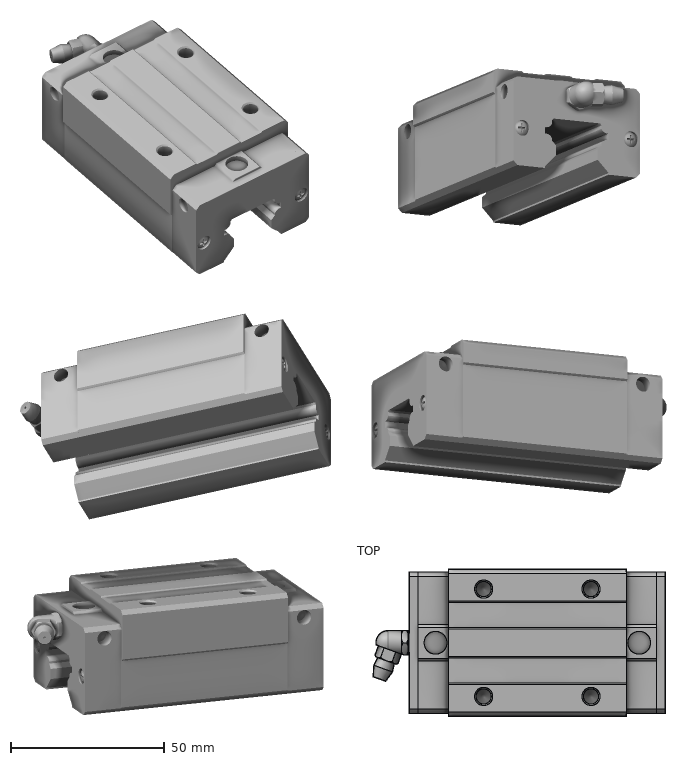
import cadquery as cq
import math


block_length = 58.0
block_width = 48.0
block_skirt_half_width = 23.4
block_height = 34.5
block_top_chamfer = 1.4
block_bottom_chamfer = 1.7
skirt_step_front = 18.1
skirt_step_back = 26.6
top_groove_depth = 0.5
top_groove_inner = 5.0
top_groove_outer = 13.1

bolt_pitch = 35.0
bolt_hole_diameter = 5.0
bolt_hole_chamfer = 0.5
bolt_hole_depth = 11.45
drill_tip_angle = 118.0

cap_length = 9.9
seal_length = 2.9
end_half_width = 23.1
end_height = 29.6
end_chamfer = 1.4

rail_center_height = 12.6
rail_top = 16.8
rail_top_chamfer = 0.6
rail_neck_half_width = 9.1
notch_half_width = 11.6
notch_half_height = 1.1
lip_arc_height = 2.6
lip_arc_bulge = 0.4
tongue_half_width = 7.6
tongue_top = 8.0
tongue_bottom = 4.6
mouth_half_width = 11.6

ridge_half_width = 5.1
ridge_height = 0.9
top_port_diameter = 7.4
top_port_depth = 1.9
top_port_x = 33.2
side_port_diameter = 5.0
side_port_depth = 5.0
side_port_x = 34.9
side_port_height = 25.7

screw_offset = 19.8
screw_head_diameter = 5.2
screw_recess_depth = 2.1
screw_rim_depth = 1.0
cross_length = 2.9
cross_width = 0.7
cross_depth = 1.3

nipple_height = 24.6
stub_diameter = 6.2
stub_length = 0.4
base_hex_flats = 8.0
base_hex_length = 2.1
elbow_length = 4.4
branch_angle = 20.0
branch_origin_x = -47.2
branch_hex_start = 2.5
branch_hex_end = 6.2
branch_hex_flats = 7.0
hex_corner_chamfer = 0.5
nozzle_neck_diameter = 5.8
nozzle_waist_diameter = 6.5
nozzle_tip_diameter = 4.4
nozzle_waist = 9.0
nozzle_tip = 12.6
grease_bore_diameter = 0.9
grease_bore_depth = 1.0

block_half_width = block_width / 2
block_end = block_length / 2
cap_end = block_end + cap_length
carriage_end = cap_end + seal_length


def extrude_along_x(profile, start, length):
    """Extrude a Y-Z profile of points over [start, start + length] in X."""
    return cq.Workplane("YZ").workplane(offset=start).polyline(profile).close().extrude(length)


def rail_opening():
    """Rail-shaped opening through the whole carriage, with rounded lips beside the side notches."""
    notch_top = rail_center_height + notch_half_height
    notch_bottom = rail_center_height - notch_half_height
    lip_top = notch_top + lip_arc_height / 2
    lip_bottom = notch_bottom - lip_arc_height / 2
    lip_mid_y = (rail_neck_half_width + notch_half_width) / 2 - lip_arc_bulge
    upper_mid_z = (notch_top + lip_top) / 2 - lip_arc_bulge
    lower_mid_z = (notch_bottom + lip_bottom) / 2 + lip_arc_bulge
    neck_bottom = tongue_top + rail_neck_half_width - tongue_half_width
    mouth_top = tongue_bottom - (mouth_half_width - tongue_half_width)
    half = (
        cq.Workplane("YZ").workplane(offset=-carriage_end)
        .moveTo(0, rail_top)
        .lineTo(rail_neck_half_width - rail_top_chamfer, rail_top)
        .lineTo(rail_neck_half_width, rail_top - rail_top_chamfer)
        .lineTo(rail_neck_half_width, lip_top)
        .threePointArc((lip_mid_y, upper_mid_z), (notch_half_width, notch_top))
        .lineTo(notch_half_width, notch_bottom)
        .threePointArc((lip_mid_y, lower_mid_z), (rail_neck_half_width, lip_bottom))
        .lineTo(rail_neck_half_width, neck_bottom)
        .lineTo(tongue_half_width, tongue_top)
        .lineTo(tongue_half_width, tongue_bottom)
        .lineTo(mouth_half_width, mouth_top)
        .lineTo(mouth_half_width, 0)
        .lineTo(0, 0)
        .close()
        .extrude(2 * carriage_end)
    )
    return half.union(half.mirror("XZ"))


def block_outline():
    """Outer Y-Z outline of the block, without the top grooves."""
    step = block_half_width - block_skirt_half_width
    top_flat = block_half_width - block_top_chamfer
    bottom_flat = block_skirt_half_width - block_bottom_chamfer
    shoulder = block_height - block_top_chamfer
    return [
        (-bottom_flat, 0),
        (-block_skirt_half_width, block_bottom_chamfer),
        (-block_skirt_half_width, skirt_step_front - step),
        (-block_half_width, skirt_step_front),
        (-block_half_width, shoulder),
        (-top_flat, block_height),
        (top_flat, block_height),
        (block_half_width, shoulder),
        (block_half_width, skirt_step_back),
        (block_skirt_half_width, skirt_step_back - step),
        (block_skirt_half_width, block_bottom_chamfer),
        (bottom_flat, 0),
    ]


def top_groove():
    """Shallow groove with sloping sides along the top, on the +Y side."""
    floor = block_height - top_groove_depth
    profile = [
        (top_groove_inner, floor),
        (top_groove_inner - top_groove_depth, block_height),
        (top_groove_outer + top_groove_depth, block_height),
        (top_groove_outer, floor),
    ]
    return extrude_along_x(profile, -block_end, block_length)


def bolt_hole():
    """Blind hole with a chamfered mouth and a drill-point bottom, opening at Z = 0."""
    radius = bolt_hole_diameter / 2
    tip = radius / math.tan(math.radians(drill_tip_angle / 2))
    profile = [
        (0, 0),
        (radius + bolt_hole_chamfer, 0),
        (radius, -bolt_hole_chamfer),
        (radius, -bolt_hole_depth),
        (0, -bolt_hole_depth - tip),
    ]
    return cq.Workplane("XZ").polyline(profile).close().revolve(360, (0, 0, 0), (0, 1, 0))


def make_block():
    block = extrude_along_x(block_outline(), -block_end, block_length)
    block = block.cut(top_groove()).cut(top_groove().mirror("XZ"))
    for x in (-bolt_pitch / 2, bolt_pitch / 2):
        for y in (-bolt_pitch / 2, bolt_pitch / 2):
            block = block.cut(bolt_hole().translate((x, y, block_height)))
    return block.cut(rail_opening())


def end_outline():
    """Outer Y-Z outline shared by the end caps and the seals."""
    flat = end_half_width - end_chamfer
    shoulder = end_height - end_chamfer
    return [
        (-flat, 0),
        (-end_half_width, end_chamfer),
        (-end_half_width, shoulder),
        (-flat, end_height),
        (flat, end_height),
        (end_half_width, shoulder),
        (end_half_width, end_chamfer),
        (flat, 0),
    ]


def make_end_cap():
    """End cap on the -X side, with a grease port in its top ridge and one in each side."""
    cap = extrude_along_x(end_outline(), -cap_end, cap_length)
    ridge_top = end_height + ridge_height
    ridge_foot = ridge_half_width + ridge_height
    ridge_profile = [
        (-ridge_foot, end_height),
        (-ridge_half_width, ridge_top),
        (ridge_half_width, ridge_top),
        (ridge_foot, end_height),
    ]
    cap = cap.union(extrude_along_x(ridge_profile, -cap_end, cap_length))
    top_port = (
        cq.Workplane("XY", origin=(-top_port_x, 0, ridge_top))
        .circle(top_port_diameter / 2).extrude(-top_port_depth)
    )
    side_port = (
        cq.Workplane("XZ", origin=(-side_port_x, -end_half_width, side_port_height))
        .circle(side_port_diameter / 2).extrude(-side_port_depth)
    )
    cap = cap.cut(top_port).cut(side_port).cut(side_port.mirror("XZ"))
    return cap.cut(rail_opening())


def make_seal():
    """End seal plate on the -X side, with a round recess for each screw head."""
    seal = extrude_along_x(end_outline(), -carriage_end, seal_length)
    recesses = (
        cq.Workplane("YZ", origin=(-carriage_end, 0, rail_center_height))
        .pushPoints([(-screw_offset, 0), (screw_offset, 0)])
        .circle(screw_head_diameter / 2).extrude(screw_recess_depth)
    )
    return seal.cut(recesses).cut(rail_opening())


def make_screw(y):
    """Domed cross-recess screw head, flush with the outer face of the -X seal."""
    radius = screw_head_diameter / 2
    sphere_radius = (radius**2 + screw_rim_depth**2) / (2 * screw_rim_depth)
    head = cq.Workplane("YZ").circle(radius).extrude(screw_recess_depth)
    dome = cq.Workplane("XY").sphere(sphere_radius).translate((sphere_radius, 0, 0))
    cross = (
        cq.Workplane("YZ").rect(cross_length, cross_width).extrude(cross_depth)
        .union(cq.Workplane("YZ").rect(cross_width, cross_length).extrude(cross_depth))
    )
    screw = head.intersect(dome).cut(cross)
    return screw.translate((-carriage_end, y, rail_center_height))


def hex_nut(flats, length, chamfered_ends):
    """Hexagon along +Z from Z = 0, its corners chamfered at the selected end circles."""
    corners = flats / math.cos(math.radians(30))
    prism = cq.Workplane("XY").polygon(6, corners).extrude(length)
    envelope = cq.Workplane("XY").circle(corners / 2).extrude(length)
    envelope = envelope.edges(chamfered_ends).chamfer(hex_corner_chamfer)
    return prism.intersect(envelope)


def lean_branch(part):
    """Turn a part built up along +Z onto the branch axis."""
    return (
        part.rotate((0, 0, 0), (1, 0, 0), 90)
        .rotate((0, 0, 0), (0, 0, 1), -branch_angle)
        .translate((branch_origin_x, 0, 0))
    )


def nipple_stem():
    """Stub, hexagon and ball-ended elbow along -X, cut flat where the branch sits on it."""
    hex_end = stub_length + base_hex_length
    ball_center = hex_end + elbow_length
    ball_radius = base_hex_flats / 2
    diagonal = ball_radius * math.sqrt(0.5)
    round_part = (
        cq.Workplane("XY")
        .moveTo(0, 0)
        .lineTo(0, stub_diameter / 2)
        .lineTo(-hex_end, stub_diameter / 2)
        .lineTo(-hex_end, ball_radius)
        .lineTo(-ball_center, ball_radius)
        .threePointArc((-ball_center - diagonal, diagonal), (-ball_center - ball_radius, 0))
        .close()
        .revolve(360, (0, 0, 0), (1, 0, 0))
    )
    nut = (
        hex_nut(base_hex_flats, base_hex_length, "%CIRCLE")
        .rotate((0, 0, 0), (0, 1, 0), -90).translate((-stub_length, 0, 0))
    )
    stem = round_part.union(nut).translate((-carriage_end, 0, 0))
    trim_size = 2 * base_hex_flats
    beyond_seat = cq.Workplane("XY").rect(trim_size, trim_size).extrude(trim_size)
    return stem.cut(lean_branch(beyond_seat.translate((0, 0, branch_hex_start))))


def nipple_branch():
    """Hexagon and tapered nozzle, leaning from -Y towards -X."""
    nut = (
        hex_nut(branch_hex_flats, branch_hex_end - branch_hex_start, ">Z")
        .translate((0, 0, branch_hex_start))
    )
    nozzle_profile = [
        (0, branch_hex_end),
        (nozzle_neck_diameter / 2, branch_hex_end),
        (nozzle_waist_diameter / 2, nozzle_waist),
        (nozzle_tip_diameter / 2, nozzle_tip),
        (grease_bore_diameter / 2, nozzle_tip),
        (grease_bore_diameter / 2, nozzle_tip - grease_bore_depth),
        (0, nozzle_tip - grease_bore_depth),
    ]
    nozzle = cq.Workplane("XZ").polyline(nozzle_profile).close().revolve(360, (0, 0, 0), (0, 1, 0))
    return lean_branch(nut.union(nozzle))


def make_grease_nipple():
    return nipple_stem().union(nipple_branch()).translate((0, 0, nipple_height))


block = make_block()
nipple = make_grease_nipple()
end_parts = [make_end_cap(), make_seal()]
for side in (-1, 1):
    end_parts.append(make_screw(side * screw_offset))

bodies = [block.val(), nipple.val()]
for part in end_parts:
    bodies.append(part.val())
    bodies.append(part.mirror("YZ").val())

result = cq.Compound.makeCompound(bodies)